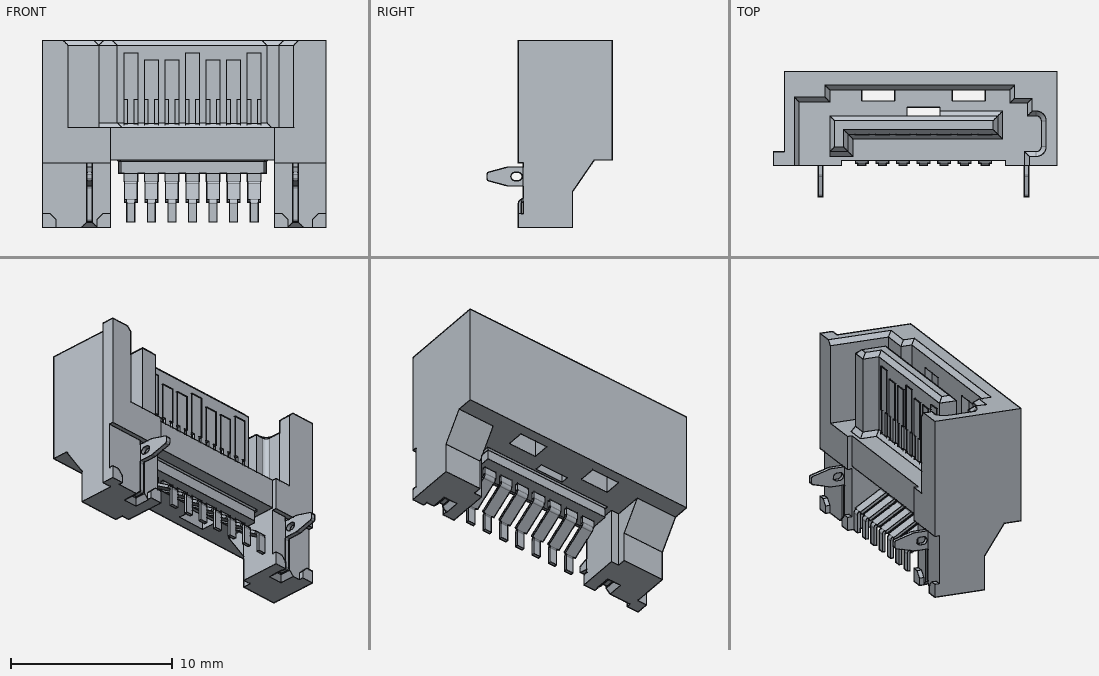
import cadquery as cq
import math


total_width = 17.54
total_height = 11.56
body_left = 0.68
body_depth = 5.82
ear_depth = 0.86
connector_center = 9.28

underside_z = 4.17
rear_slope_top_y = 4.7
rear_slope_bottom_z = 2.23
leg_depth = 3.37
leg_gap_width = 10.1
leg_relief_front = 2.8
leg_relief_width = 0.56
standoff = 0.3
standoff_top_z = 4.0
pad_size = 0.86
pad_chamfer = 0.37

floor_z = 6.17
bevel = 0.3
cavity_left = 1.6
cavity_left_back = 3.93
cavity_step_left = 3.49
cavity_back = 4.67
cavity_step_right = 14.61
cavity_right_back = 3.86
nook_left = 15.7
nook_back = 3.07
nook_right = 16.55
nook_front = 0.86
nook_radius = 0.32
opening_right = 15.52

blade_left = 3.49
blade_right = 13.87
blade_back = 3.07
blade_front = 1.93
arm_right = 4.63
arm_front = 0.86

window_width = 2.02
back_window_spacing = 5.6
back_window_front = 4.0
back_window_rear = 5.15
back_window_top = 10.44
blade_window_depth = 0.53

block_width = 9.12
block_front = 1.23
block_back = 2.8
block_bottom_z = 3.35
block_corner = 0.15
block_flare = 0.1

contact_pitch = 1.27
long_contact_top = 10.79
short_contact_top = 10.35
contact_tops = [
    long_contact_top,
    short_contact_top,
    short_contact_top,
    long_contact_top,
    short_contact_top,
    short_contact_top,
    long_contact_top,
]
contact_thickness = 0.2
contact_proud = 0.05
contact_width = 0.86
neck_width = 0.4
neck_top_z = 7.93
neck_bottom_z = 6.4
lead_width = 0.8
tail_width = 0.5
tail_bottom_z = 0.33
upper_bend_z = 2.85
upper_bend_radius = 0.12
lower_bend_radius = 0.28
lead_slope = 31

lock_spacing = 12.73
lock_thickness = 0.3
lock_recess = 0.07
lock_back = 1.05
lock_bottom_z = 0.37
lock_edge_radius = 0.1
tab_root_radius = 0.1
tab_bottom_z = 2.56
tab_top_z = 3.75
tab_shoulder_y = -0.63
tab_shoulder_radius = 0.39
tab_tip_y = -1.93
tab_tip_height = 0.49
tab_tip_radius = 0.14
tab_hole_y = -0.1
tab_hole_length = 0.68
tab_hole_height = 0.5
slot_width = 0.37
slot_flare = 0.32

leg_gap_left = connector_center - leg_gap_width / 2
leg_gap_right = connector_center + leg_gap_width / 2
bevel_base_z = total_height - bevel
contact_front = blade_front - contact_proud
contact_back = contact_front + contact_thickness
middle_contact = len(contact_tops) // 2
contact_xs = [connector_center + (i - middle_contact) * contact_pitch for i in range(len(contact_tops))]
lock_xs = [connector_center + side * lock_spacing / 2 for side in (-1, 1)]
tab_mid_z = (tab_bottom_z + tab_top_z) / 2


def box(x0, x1, y0, y1, z0, z1):
    """Axis-aligned block between opposite corners."""
    return cq.Workplane("XY").box(x1 - x0, y1 - y0, z1 - z0, centered=False).translate((x0, y0, z0))


def extrude_along_x(profile, x0, x1):
    """Extrude a YZ point list from x0 to x1."""
    return cq.Workplane("YZ", origin=(x0, 0, 0)).polyline(profile).close().extrude(x1 - x0)


def ruled_loft(lower, upper):
    """Straight-sided solid between two closed outlines."""
    return cq.Workplane(cq.Solid.makeLoft([lower.val(), upper.val()], True))




def housing_shell():
    """Solid body with the side ear, the gap between the legs and the recessed front wall."""
    side_profile = [
        (0, 0),
        (leg_depth, 0),
        (leg_depth, rear_slope_bottom_z),
        (rear_slope_top_y, underside_z),
        (body_depth, underside_z),
        (body_depth, total_height),
        (0, total_height),
    ]
    shell = extrude_along_x(side_profile, body_left, total_width)
    shell = shell.union(box(0, body_left, 0, ear_depth, 0, total_height))
    shell = shell.cut(box(leg_gap_left, leg_gap_right, 0, body_depth, 0, underside_z))
    relief_left = leg_gap_left - leg_relief_width
    relief_right = leg_gap_right + leg_relief_width
    shell = shell.cut(box(relief_left, relief_right, leg_relief_front, body_depth, 0, underside_z))
    shell = shell.cut(box(leg_gap_left, leg_gap_right, 0, standoff, underside_z, floor_z))
    return shell.cut(box(0, total_width, 0, standoff, 0, standoff_top_z))


def standoff_pad(edge_x, direction):
    """Foot pad in a lower leg corner; direction points from the leg edge into the leg."""
    inner_x = edge_x + direction * pad_size
    outline = [
        (edge_x, 0),
        (inner_x, 0),
        (inner_x, pad_size - pad_chamfer),
        (inner_x - direction * pad_chamfer, pad_size),
        (edge_x, pad_size),
    ]
    return cq.Workplane("XZ").polyline(outline).close().extrude(-standoff)


def cavity_outline(z, spread=0):
    """Cavity outline at height z, spread outward into the walls and open past the housing front."""
    past_front = -ear_depth
    left = cavity_left - spread
    left_back = cavity_left_back + spread
    step_left = cavity_step_left - spread
    back = cavity_back + spread
    step_right = cavity_step_right + spread
    right_back = cavity_right_back + spread
    nook_start = nook_left + spread
    nook_rear = nook_back + spread
    nook_side = nook_right + spread
    nook_lip = nook_front - spread
    opening = opening_right + spread
    radius = nook_radius + spread
    arc_inset = radius * (1 - math.sqrt(0.5))
    return (
        cq.Workplane("XY", origin=(0, 0, z))
        .moveTo(left, past_front)
        .lineTo(left, left_back)
        .lineTo(step_left, left_back)
        .lineTo(step_left, back)
        .lineTo(step_right, back)
        .lineTo(step_right, right_back)
        .lineTo(nook_start, right_back)
        .lineTo(nook_start, nook_rear)
        .lineTo(nook_side - radius, nook_rear)
        .threePointArc((nook_side - arc_inset, nook_rear - arc_inset), (nook_side, nook_rear - radius))
        .lineTo(nook_side, nook_lip + radius)
        .threePointArc((nook_side - arc_inset, nook_lip + arc_inset), (nook_side - radius, nook_lip))
        .lineTo(opening, nook_lip)
        .lineTo(opening, past_front)
        .close()
    )


def cavity():
    """Space inside the housing walls, with its beveled mouth."""
    straight = cavity_outline(floor_z).extrude(total_height - floor_z)
    mouth = ruled_loft(cavity_outline(bevel_base_z), cavity_outline(total_height, bevel))
    return straight.union(mouth)


def blade_outline(z, spread=0):
    """L-shaped blade outline, spread outward on every side but the left."""
    points = [
        (blade_left, blade_back + spread),
        (blade_right + spread, blade_back + spread),
        (blade_right + spread, blade_front - spread),
        (arm_right + spread, blade_front - spread),
        (arm_right + spread, arm_front - spread),
        (blade_left, arm_front - spread),
    ]
    return cq.Workplane("XY", origin=(0, 0, z)).polyline(points).close()


def blade():
    """L-shaped blade with a beveled top and a flared foot."""
    body = blade_outline(floor_z).extrude(total_height - floor_z)
    body = body.faces(">Z").edges().chamfer(bevel)
    foot = ruled_loft(blade_outline(floor_z, bevel), blade_outline(floor_z + bevel))
    plain_end = connector_center + window_width / 2
    foot = foot.cut(
        box(blade_left, plain_end, blade_back, blade_back + bevel, floor_z, floor_z + bevel)
    )
    return body.union(foot)


def window(center_x, y0, y1, z1):
    """Opening from the underside up to z1."""
    half = window_width / 2
    return box(center_x - half, center_x + half, y0, y1, underside_z, z1)


def block_outline(z, spread=0):
    """Contact block outline with cut front corners, spread outward on every side."""
    half = block_width / 2 + spread
    front = block_front - spread
    back = block_back + spread
    points = [
        (-half, back),
        (-half, front + block_corner),
        (-half + block_corner, front),
        (half - block_corner, front),
        (half, front + block_corner),
        (half, back),
    ]
    return cq.Workplane("XY", origin=(connector_center, 0, z)).polyline(points).close()


def contact_block():
    """Block under the floor that guides the contacts, flared where it joins the underside."""
    block = block_outline(block_bottom_z).extrude(underside_z - block_bottom_z)
    flare = ruled_loft(block_outline(underside_z - block_flare), block_outline(underside_z, block_flare))
    return block.union(flare)


def contact_slot(center_x, top_z):
    """Slot for one contact through the block and up the blade face."""
    half = contact_width / 2
    return box(center_x - half, center_x + half, contact_front, contact_back, block_bottom_z, top_z)


def slot_mouth(center_x, z, spread=0):
    """Outline of a lock slot at height z, spread outward on the sides and the back."""
    half = slot_width / 2 + spread
    back = lock_back + spread
    points = [(-half, standoff), (half, standoff), (half, back), (-half, back)]
    return cq.Workplane("XY", origin=(center_x, 0, z)).polyline(points).close()


def lock_slot(center_x):
    """Slot for one board lock with a lead-in at the underside."""
    half = slot_width / 2
    slot = box(center_x - half, center_x + half, standoff, lock_back, 0, standoff_top_z)
    lead_in = ruled_loft(
        slot_mouth(center_x, 0, slot_flare),
        slot_mouth(center_x, slot_flare),
    )
    return slot.union(lead_in)


def make_housing():
    body = housing_shell()
    for edge_x, direction in ((0, 1), (leg_gap_left, -1), (leg_gap_right, 1), (total_width, -1)):
        body = body.union(standoff_pad(edge_x, direction))
    body = body.cut(cavity()).union(blade()).union(contact_block())
    for side in (-1, 1):
        window_x = connector_center + side * back_window_spacing / 2
        body = body.cut(window(window_x, back_window_front, back_window_rear, back_window_top))
    body = body.cut(window(connector_center, blade_back, blade_back + blade_window_depth, floor_z + bevel))
    for center_x, top_z in zip(contact_xs, contact_tops):
        body = body.cut(contact_slot(center_x, top_z))
    for center_x in lock_xs:
        body = body.cut(lock_slot(center_x))
    return body



turn = math.radians(90 - lead_slope)
lead_normal = cq.Vector(-math.cos(turn), math.sin(turn))
upper_bend_center = cq.Vector(contact_front - upper_bend_radius, upper_bend_z)
lead_start = upper_bend_center - lead_normal * upper_bend_radius
lead_end_y = lower_bend_radius * (1 - math.cos(turn))
lead_end_z = lead_start.y - (lead_start.x - lead_end_y) * math.tan(math.radians(lead_slope))
lead_end = cq.Vector(lead_end_y, lead_end_z)
lower_bend_center = lead_end - lead_normal * lower_bend_radius


def bend_point(center, radius, fraction):
    """YZ point on a bend, a fraction of the turn from vertical to the sloped lead."""
    angle = fraction * turn
    return (center.x - radius * math.cos(angle), center.y + radius * math.sin(angle))


def contact_strip(top_z):
    """Bent strip of full contact width, centered on X = 0."""
    upper_front = -upper_bend_radius
    upper_back = -(upper_bend_radius + contact_thickness)
    lower_front = lower_bend_radius
    lower_back = lower_bend_radius - contact_thickness
    return (
        cq.Workplane("YZ")
        .moveTo(contact_front, top_z)
        .lineTo(contact_front, upper_bend_z)
        .threePointArc(
            bend_point(upper_bend_center, upper_front, 0.5),
            bend_point(upper_bend_center, upper_front, 1),
        )
        .lineTo(lead_end.x, lead_end.y)
        .threePointArc(
            bend_point(lower_bend_center, lower_front, 0.5),
            bend_point(lower_bend_center, lower_front, 0),
        )
        .lineTo(0, tail_bottom_z)
        .lineTo(contact_thickness, tail_bottom_z)
        .lineTo(contact_thickness, lower_bend_center.y)
        .threePointArc(
            bend_point(lower_bend_center, lower_back, 0.5),
            bend_point(lower_bend_center, lower_back, 1),
        )
        .lineTo(*bend_point(upper_bend_center, upper_back, 1))
        .threePointArc(
            bend_point(upper_bend_center, upper_back, 0.5),
            bend_point(upper_bend_center, upper_back, 0),
        )
        .lineTo(contact_back, top_z)
        .close()
        .extrude(contact_width / 2, both=True)
    )


def narrow(strip, region, width):
    """Trim both edges of the strip to the given width inside a YZ region."""
    for side in (-1, 1):
        strip = strip.cut(extrude_along_x(region, side * width / 2, side * contact_width))
    return strip


def make_contact(center_x, top_z):
    neck_region = [
        (contact_front, neck_bottom_z),
        (contact_back, neck_bottom_z),
        (contact_back, neck_top_z),
        (contact_front, neck_top_z),
    ]
    lead_region = [(0, 0), (contact_back, 0), (contact_back, upper_bend_z), (0, upper_bend_z)]
    shoulder_front = lead_end + lead_normal * contact_thickness
    shoulder_back = lead_end - lead_normal * (2 * contact_thickness)
    tail_region = [
        shoulder_front.toTuple()[:2],
        shoulder_back.toTuple()[:2],
        (shoulder_back.x, 0),
        (-contact_thickness, 0),
        (-contact_thickness, shoulder_front.y),
    ]
    strip = contact_strip(top_z)
    strip = narrow(strip, neck_region, neck_width)
    strip = narrow(strip, lead_region, lead_width)
    strip = narrow(strip, tail_region, tail_width)
    return strip.translate((center_x, 0, 0))




def round_edge_at(plate, y, z, radius):
    """Fillet the edge along X that passes nearest to a YZ point."""
    plate_x = plate.val().Center().x
    return plate.edges("|X").edges(cq.NearestToPointSelector((plate_x, y, z))).fillet(radius)


def make_board_lock(center_x):
    """Flat plate held in the leg slot, with a pierced tapered tab standing out of the front."""
    face_y = standoff + lock_recess
    tip_half = tab_tip_height / 2
    profile = [
        (lock_back, lock_bottom_z),
        (lock_back, standoff_top_z),
        (face_y, standoff_top_z),
        (face_y, tab_top_z),
        (tab_shoulder_y, tab_top_z),
        (tab_tip_y, tab_mid_z + tip_half),
        (tab_tip_y, tab_mid_z - tip_half),
        (tab_shoulder_y, tab_bottom_z),
        (face_y, tab_bottom_z),
        (face_y, lock_bottom_z),
    ]
    x0 = center_x - lock_thickness / 2
    plate = extrude_along_x(profile, x0, x0 + lock_thickness)
    rounded_edges = [
        (tab_tip_y, tab_mid_z + tip_half, tab_tip_radius),
        (tab_tip_y, tab_mid_z - tip_half, tab_tip_radius),
        (tab_shoulder_y, tab_top_z, tab_shoulder_radius),
        (tab_shoulder_y, tab_bottom_z, tab_shoulder_radius),
        (face_y, tab_bottom_z, tab_root_radius),
        (face_y, lock_bottom_z, lock_edge_radius),
        (lock_back, lock_bottom_z, lock_edge_radius),
    ]
    for y, z, radius in rounded_edges:
        plate = round_edge_at(plate, y, z, radius)
    hole = (
        cq.Workplane("YZ", origin=(x0, tab_hole_y, tab_mid_z))
        .slot2D(tab_hole_length, tab_hole_height)
        .extrude(lock_thickness)
    )
    return plate.cut(hole)


housing = make_housing()
contacts = [make_contact(x, top_z) for x, top_z in zip(contact_xs, contact_tops)]
board_locks = [make_board_lock(x) for x in lock_xs]

result = cq.Compound.makeCompound(
    [housing.val()] + [contact.val() for contact in contacts] + [lock.val() for lock in board_locks]
)